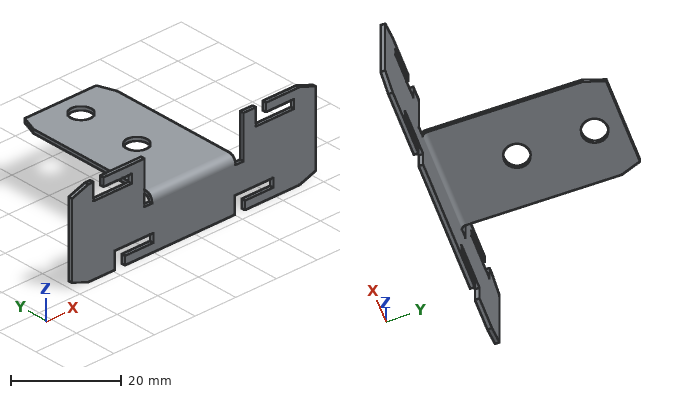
import cadquery as cq

sheet = 0.9
plate_length = 60.0
plate_height = 20.5
tab_width = plate_height
tab_reach = 35.8

inner_radius = 0.9
outer_radius = inner_radius + sheet
bend_start_z = 0.25
tab_top_z = bend_start_z + outer_radius

taper_long = 4.0
taper_short = 1.45

notch_width = 24.35
notch_floor_z = 0.1

slot_length = 9.4
slot_mouth = 2.45
slot_depth = 4.0
slot_run_height = slot_depth / 2
top_slot_starts = (-24.7, 15.25)
bottom_slot_starts = (-19.45, 10.1)

hole_diameter = 5.0
hole_pitch = 15.0
hole_end_distance = 5.5


def box(x_start, y_start, z_start, x_size, y_size, z_size):
    """Box placed by its lowest corner."""
    block = cq.Workplane("XY").box(x_size, y_size, z_size, centered=False)
    return block.translate((x_start, y_start, z_start))


def make_slot(x_start, edge_side):
    """L-shaped slot in the top (+1) or bottom (-1) edge, running toward +X."""
    edge_z = edge_side * plate_height / 2
    floor_z = edge_z - edge_side * slot_depth
    run_z = floor_z + edge_side * slot_run_height
    mouth = box(x_start, 0, min(edge_z, floor_z), slot_mouth, sheet, slot_depth)
    run = box(x_start, 0, min(run_z, floor_z), slot_length, sheet, slot_run_height)
    return mouth.union(run)


def make_plate():
    """Upright plate with its front face at Y = 0."""
    half_length = plate_length / 2
    half_height = plate_height / 2
    shoulder_x = half_length - taper_long
    shoulder_z = half_height - taper_short
    plate = (
        cq.Workplane("XZ")
        .polyline([
            (-half_length, -shoulder_z),
            (-shoulder_x, -half_height),
            (shoulder_x, -half_height),
            (half_length, -shoulder_z),
            (half_length, shoulder_z),
            (shoulder_x, half_height),
            (-shoulder_x, half_height),
            (-half_length, shoulder_z),
        ])
        .close()
        .extrude(-sheet)
    )
    notch_depth = half_height - notch_floor_z
    plate = plate.cut(box(-notch_width / 2, 0, notch_floor_z, notch_width, sheet, notch_depth))
    for x_start in top_slot_starts:
        plate = plate.cut(make_slot(x_start, 1))
    for x_start in bottom_slot_starts:
        plate = plate.cut(make_slot(x_start, -1))
    return plate


def make_bend():
    """Quarter bend, with the short upright strip that rises from the notch floor."""
    strip = box(-tab_width / 2, 0, notch_floor_z, tab_width, sheet, bend_start_z - notch_floor_z)
    curve = (
        cq.Workplane("YZ", origin=(-tab_width / 2, 0, 0))
        .moveTo(0, bend_start_z)
        .radiusArc((outer_radius, tab_top_z), outer_radius)
        .lineTo(outer_radius, tab_top_z - sheet)
        .radiusArc((sheet, bend_start_z), -inner_radius)
        .close()
        .extrude(tab_width)
    )
    return strip.union(curve)


def make_tab():
    """Horizontal tab with a tapered free end and two holes on its centre line."""
    half_width = tab_width / 2
    taper_y = tab_reach - taper_long
    end_x = half_width - taper_short
    far_hole_y = tab_reach - hole_end_distance
    return (
        cq.Workplane("XY", origin=(0, 0, tab_top_z - sheet))
        .polyline([
            (-half_width, outer_radius),
            (half_width, outer_radius),
            (half_width, taper_y),
            (end_x, tab_reach),
            (-end_x, tab_reach),
            (-half_width, taper_y),
        ])
        .close()
        .pushPoints([(0, far_hole_y), (0, far_hole_y - hole_pitch)])
        .circle(hole_diameter / 2)
        .extrude(sheet)
    )


result = make_plate().union(make_bend()).union(make_tab())